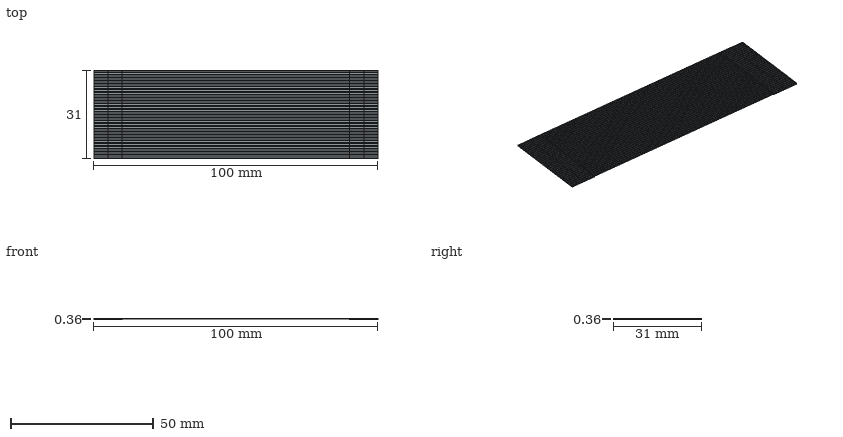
import cadquery as cq

CABLE_LENGTH = 100.0
CABLE_WIDTH = 31.0
END_THICKNESS = 0.36

FILM_THICKNESS = 0.05
CONDUCTOR_THICKNESS = 0.02
CONDUCTOR_WIDTH = 0.7
CONDUCTOR_COUNT = 30
BARE_END_LENGTH = 5.0
STIFFENER_LENGTH = 10.0

conductor_pitch = CABLE_WIDTH / (CONDUCTOR_COUNT + 1)

top_film_bottom = END_THICKNESS - FILM_THICKNESS
conductor_bottom = top_film_bottom - CONDUCTOR_THICKNESS
stiffener_thickness = conductor_bottom - FILM_THICKNESS


def strip(x_start, x_end, width, bottom, thickness):
    """Flat strip along X, centred on Y = 0."""
    length = x_end - x_start
    blank = cq.Workplane("XY").box(length, width, thickness, centered=(False, True, False))
    return blank.translate((x_start, 0, bottom))


def make_bottom_film():
    return strip(0, CABLE_LENGTH, CABLE_WIDTH, stiffener_thickness, FILM_THICKNESS)


def make_top_film():
    x_end = CABLE_LENGTH - BARE_END_LENGTH
    return strip(BARE_END_LENGTH, x_end, CABLE_WIDTH, top_film_bottom, FILM_THICKNESS)


def make_stiffener(x_start):
    return strip(x_start, x_start + STIFFENER_LENGTH, CABLE_WIDTH, 0, stiffener_thickness)


def make_conductor(index):
    y = (index + 1) * conductor_pitch - CABLE_WIDTH / 2
    conductor = strip(0, CABLE_LENGTH, CONDUCTOR_WIDTH, conductor_bottom, CONDUCTOR_THICKNESS)
    return conductor.translate((0, y, 0))


result = make_bottom_film()
for stiffener_start in (0, CABLE_LENGTH - STIFFENER_LENGTH):
    result = result.union(make_stiffener(stiffener_start))
for conductor_index in range(CONDUCTOR_COUNT):
    result = result.union(make_conductor(conductor_index))
result = result.union(make_top_film())